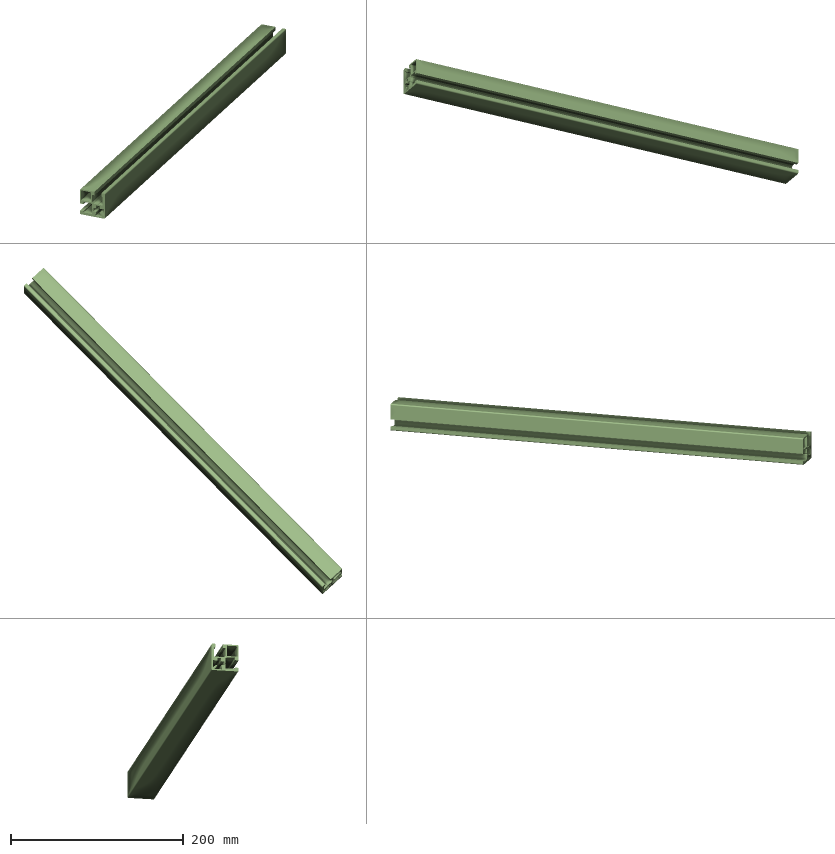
import cadquery as cq

LENGTH = 500.0
SIDE = 32.0
CORNER_RADIUS = 1.5
WALL = 1.5

OPENING_START = 18.5
OPENING_WIDTH = 9.0
LIP_DEPTH = 4.5
FLANGE = 3.0
CHAMBER_START = 15.5
CHAMBER_FLOOR = 15.5
CHAMBER_END = SIDE - FLANGE
CHAMBER_CHAMFER = 1.5
GROOVE_DEPTH = 0.5
SLOT_CENTER = OPENING_START + OPENING_WIDTH / 2

CAVITY_END = CHAMBER_START - WALL

PORT_CENTER = SLOT_CENTER
PORT_RADIUS = 3.5
PORT_BOX_START = CHAMBER_START + WALL
PORT_BOX_END = SIDE - WALL
WINDOW_WIDTH = 4.5
OUTER_WINDOW_WIDTH = 5.0
INNER_FLARE = 1.0
CORNER_FLARE = 3.0


def prism(points):
    """Full-length prism from (across, down) section points."""
    section = [(across - SIDE / 2, SIDE / 2 - down) for across, down in points]
    return cq.Workplane("XZ").polyline(section).close().extrude(LENGTH / 2, both=True)


def block(left, top, right, bottom):
    return prism([(left, top), (right, top), (right, bottom), (left, bottom)])


def cut_with_mirror(body, points):
    """Cut a section and its mirror image about the profile's diagonal."""
    mirrored = [(down, across) for across, down in points]
    return body.cut(prism(points)).cut(prism(mirrored))


def slot_outline():
    """Lip opening, wide chamber, and a V-groove along the chamber floor."""
    opening_end = OPENING_START + OPENING_WIDTH
    return [
        (OPENING_START, 0),
        (opening_end, 0),
        (opening_end, LIP_DEPTH),
        (CHAMBER_END, LIP_DEPTH),
        (CHAMBER_END, CHAMBER_FLOOR),
        (SLOT_CENTER + GROOVE_DEPTH, CHAMBER_FLOOR),
        (SLOT_CENTER, CHAMBER_FLOOR + GROOVE_DEPTH),
        (SLOT_CENTER - GROOVE_DEPTH, CHAMBER_FLOOR),
        (CHAMBER_START + CHAMBER_CHAMFER, CHAMBER_FLOOR),
        (CHAMBER_START, CHAMBER_FLOOR - CHAMBER_CHAMFER),
        (CHAMBER_START, LIP_DEPTH),
        (OPENING_START, LIP_DEPTH),
    ]


def inner_window_outline():
    """Window from the port center to the thin wall under the top slot."""
    half = WINDOW_WIDTH / 2
    return [
        (PORT_CENTER - half, PORT_BOX_START),
        (PORT_CENTER + half, PORT_BOX_START),
        (PORT_CENTER + half, PORT_CENTER),
        (PORT_CENTER - half, PORT_CENTER),
    ]


def outer_window_outline():
    """Window from the port center to the right wall, flared toward the wall."""
    half = OUTER_WINDOW_WIDTH / 2
    return [
        (PORT_CENTER, PORT_CENTER - half),
        (PORT_CENTER + PORT_RADIUS, PORT_CENTER - half),
        (PORT_BOX_END, PORT_CENTER - half - INNER_FLARE),
        (PORT_BOX_END, PORT_CENTER + half + CORNER_FLARE),
        (PORT_CENTER + PORT_RADIUS, PORT_CENTER + half),
        (PORT_CENTER, PORT_CENTER + half),
    ]


def port_hole():
    offset = PORT_CENTER - SIDE / 2
    circle = cq.Workplane("XZ").center(offset, -offset).circle(PORT_RADIUS)
    return circle.extrude(LENGTH / 2, both=True)


body = block(0, 0, SIDE, SIDE).edges("|Y").fillet(CORNER_RADIUS)
body = body.cut(block(WALL, WALL, CAVITY_END, CAVITY_END))
body = cut_with_mirror(body, slot_outline())
body = body.cut(port_hole())
body = cut_with_mirror(body, inner_window_outline())
result = cut_with_mirror(body, outer_window_outline())